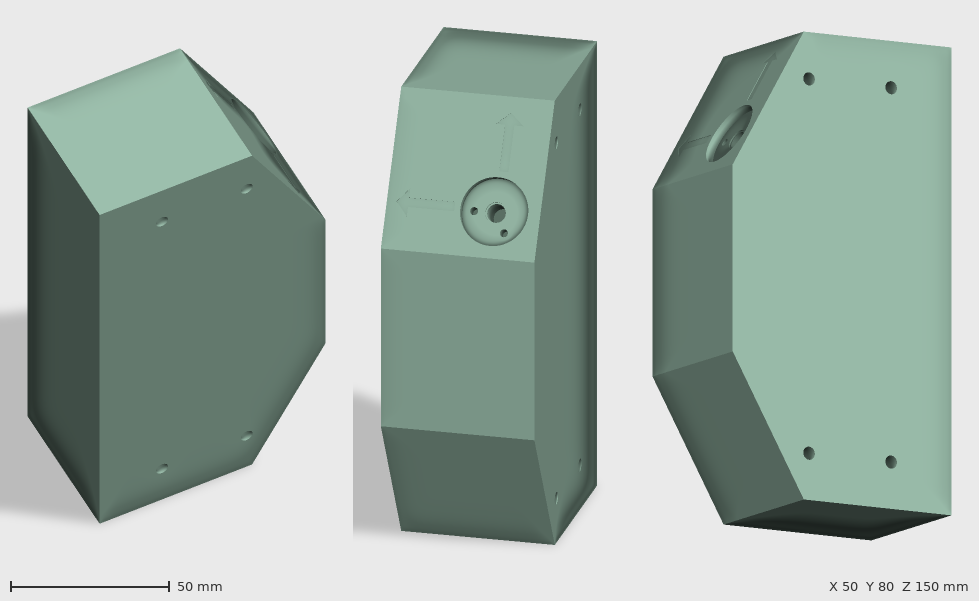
import cadquery as cq
import math

width = 50.0
depth = 80.0
height = 150.0
slope_height = 45.0
slope_angle = 60.0
slope_run = slope_height / math.tan(math.radians(slope_angle))

cross_hole_diameter = 4.2
cross_hole_end_margin = 15.0
cross_hole_first_y = 22.0
cross_hole_spacing = 30.0

recess_from_side = 15.0
recess_from_lower_edge = 15.0
recess_diameter = 22.0
recess_depth = 3.0

center_rim_diameter = 7.0
center_rim_depth = 0.5
center_hole_diameter = 6.0
center_hole_depth = 10.0
pin_diameter = 2.5
pin_depth = 4.5
pin_positions = [(-3.3, 6.2), (7.2, 0)]

arrow_tail = 12.9
arrow_neck = 27.9
arrow_tip = 31.8
arrow_shaft_half_width = 1.5
arrow_head_half_width = 4.5
arrow_depth = 0.2
side_arrow_offset = -0.5
upward_arrow_offset = 1.5


def make_body():
    profile = [
        (0, 0),
        (depth - slope_run, 0),
        (depth, slope_height),
        (depth, height - slope_height),
        (depth - slope_run, height),
        (0, height),
    ]
    return cq.Workplane("YZ").polyline(profile).close().extrude(width)


def make_cross_holes():
    centers = [
        (y, z)
        for y in (cross_hole_first_y, cross_hole_first_y + cross_hole_spacing)
        for z in (cross_hole_end_margin, height - cross_hole_end_margin)
    ]
    return cq.Workplane("YZ").pushPoints(centers).circle(cross_hole_diameter / 2).extrude(width)


def slope_plane(sunk=0):
    """Plane at the recess centre, sunk below the upper slope; local X is X, local Y runs down the slope."""
    angle = math.radians(slope_angle)
    inward_y = recess_from_lower_edge * math.cos(angle) + sunk * math.sin(angle)
    upward_z = recess_from_lower_edge * math.sin(angle) - sunk * math.cos(angle)
    return cq.Workplane(
        cq.Plane(
            origin=(recess_from_side, depth - inward_y, height - slope_height + upward_z),
            xDir=(1, 0, 0),
            normal=(0, math.sin(angle), math.cos(angle)),
        )
    )


def make_recess():
    recess = slope_plane().circle(recess_diameter / 2).extrude(-recess_depth)
    floor = slope_plane(recess_depth)
    rim = floor.circle(center_rim_diameter / 2).extrude(-center_rim_depth)
    center_hole = floor.circle(center_hole_diameter / 2).extrude(-center_hole_depth)
    pins = floor.pushPoints(pin_positions).circle(pin_diameter / 2).extrude(-pin_depth)
    return recess.union(rim).union(center_hole).union(pins)


def make_arrow(direction_angle, offset):
    """Arrow turned about the recess centre and shifted sideways to the left of its direction."""
    outline = [
        (arrow_tail, offset - arrow_shaft_half_width),
        (arrow_neck, offset - arrow_shaft_half_width),
        (arrow_neck, offset - arrow_head_half_width),
        (arrow_tip, offset),
        (arrow_neck, offset + arrow_head_half_width),
        (arrow_neck, offset + arrow_shaft_half_width),
        (arrow_tail, offset + arrow_shaft_half_width),
    ]
    plane = slope_plane().transformed(rotate=(0, 0, direction_angle))
    return plane.polyline(outline).close().extrude(-arrow_depth)


result = (
    make_body()
    .cut(make_cross_holes())
    .cut(make_recess())
    .cut(make_arrow(0, side_arrow_offset))
    .cut(make_arrow(-90, -upward_arrow_offset))
)